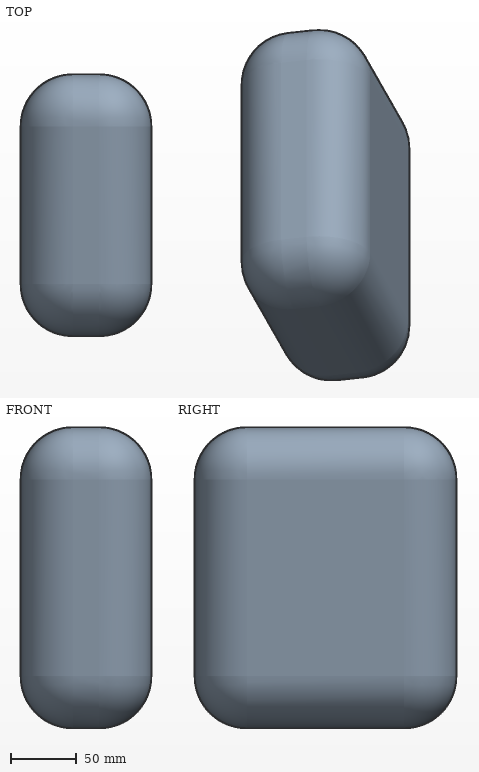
import cadquery as cq

width = 100.0
depth = 2 * width
height = 230.0

edge_radius = 0.4 * width

result = cq.Workplane("XY").box(width, depth, height).edges().fillet(edge_radius)